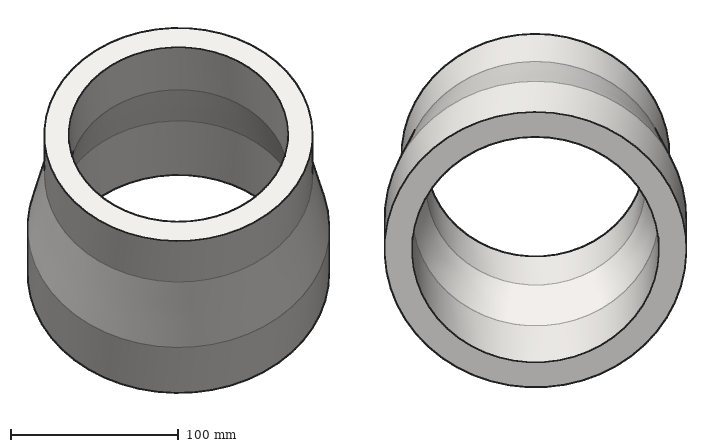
import cadquery as cq

height = 136.0
large_outer_diameter = 180.0
small_outer_diameter = 160.0

large_wall = 16.4
small_wall = 14.5

large_outer_length = 45.0
small_outer_length = 40.0
large_bore_length = 53.5
small_bore_length = 41.4


def tapered_body(large_diameter, small_diameter, large_length, small_length):
    """Solid of revolution: large cylinder, taper, small cylinder."""
    large_radius = large_diameter / 2
    small_radius = small_diameter / 2
    return (
        cq.Workplane("XZ")
        .moveTo(0, 0)
        .lineTo(large_radius, 0)
        .lineTo(large_radius, large_length)
        .lineTo(small_radius, height - small_length)
        .lineTo(small_radius, height)
        .lineTo(0, height)
        .close()
        .revolve(360, (0, 0, 0), (0, 1, 0))
    )


outer_body = tapered_body(
    large_outer_diameter,
    small_outer_diameter,
    large_outer_length,
    small_outer_length,
)

bore = tapered_body(
    large_outer_diameter - 2 * large_wall,
    small_outer_diameter - 2 * small_wall,
    large_bore_length,
    small_bore_length,
)

result = outer_body.cut(bore)